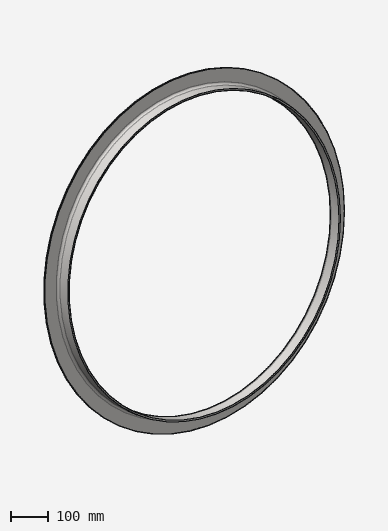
import cadquery as cq

flange_diameter = 1005
collar_outer_diameter = 915
collar_inner_diameter = 905
total_depth = 45.0
outer_bend_radius = 7.0

flange_radius = flange_diameter / 2
collar_outer_radius = collar_outer_diameter / 2
collar_inner_radius = collar_inner_diameter / 2

sheet_thickness = collar_outer_radius - collar_inner_radius
throat_bend_radius = outer_bend_radius + sheet_thickness

bend_center_x = throat_bend_radius
bend_center_radius = collar_inner_radius + throat_bend_radius

section = (
    cq.Workplane("XY")
    .moveTo(0, bend_center_radius)
    .lineTo(0, flange_radius)
    .lineTo(sheet_thickness, flange_radius)
    .lineTo(sheet_thickness, bend_center_radius)
    .radiusArc((bend_center_x, collar_outer_radius), -outer_bend_radius)
    .lineTo(total_depth, collar_outer_radius)
    .lineTo(total_depth, collar_inner_radius)
    .lineTo(bend_center_x, collar_inner_radius)
    .radiusArc((0, bend_center_radius), throat_bend_radius)
    .close()
)

result = section.revolve(360, (0, 0, 0), (1, 0, 0))